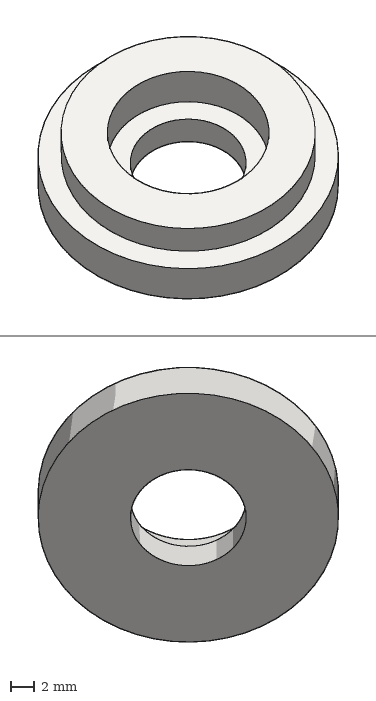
import cadquery as cq

flange_diameter = 26.0
flange_height = 4.0
collar_diameter = 22.0
collar_height = 3.0
total_height = flange_height + collar_height

bore_diameter = 10.0
counterbore_diameter = 14.0
counterbore_depth = 4.0

flange = cq.Workplane("XY").circle(flange_diameter / 2).extrude(flange_height)
collar = cq.Workplane("XY").circle(collar_diameter / 2).extrude(total_height)
body = flange.union(collar)

result = body.faces(">Z").workplane().cboreHole(
    bore_diameter, counterbore_diameter, counterbore_depth
)